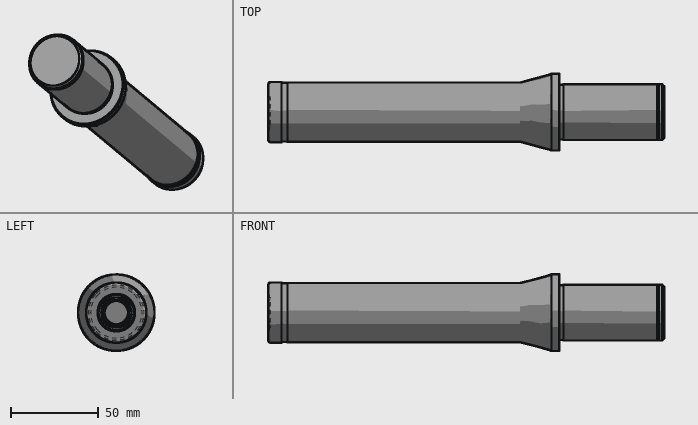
import cadquery as cq

total_length = 227.0
cap_length = 7.7
band_end = 11.1
cone_start = 144.4
cone_blend_end = 145.7
cone_end = 161.6
flange_start = 162.3
flange_end = 167.0
neck_end = 169.1
tip_groove_start = 223.0
tip_groove_end = 223.8

cap_diameter = 34.7
band_diameter = 33.8
barrel_diameter = 34.0
cone_blend_diameter = 34.7
cone_end_diameter = 43.4
flange_diameter = 44.0
neck_diameter = 31.5
shank_diameter = 32.0

cap_fillet = 1.5
flange_chamfer = 0.5
tip_chamfer = 1.4

ring_outer_diameter = 21.5
ring_step_diameter = 17.3
ring_inner_diameter = 13.5
ring_bevel = 0.7
ring_depth = 1.4
ring_step_depth = 0.7


def revolve_about_x(points):
    """Revolve a closed outline of (x, diameter) points about the X axis."""
    outline = [(x, diameter / 2) for x, diameter in points]
    return cq.Workplane("XY").polyline(outline).close().revolve(360, (0, 0, 0), (1, 0, 0))


def make_cap():
    """Rounded end cap with a stepped, bevelled ring recess around a central boss."""
    blank = revolve_about_x([
        (0, 0),
        (0, ring_inner_diameter),
        (ring_depth, ring_inner_diameter + 2 * ring_bevel),
        (ring_depth, ring_step_diameter),
        (ring_step_depth, ring_step_diameter),
        (ring_step_depth, ring_outer_diameter - 2 * ring_bevel),
        (0, ring_outer_diameter),
        (0, cap_diameter),
        (cap_length, cap_diameter),
        (cap_length, 0),
    ])
    rim = cq.selectors.RadiusNthSelector(-1)
    return blank.faces("<X").edges(rim).fillet(cap_fillet)


def make_pillar():
    """Barrel, flared collar and reduced shank turned from one bar."""
    return revolve_about_x([
        (cap_length, 0),
        (cap_length, band_diameter),
        (band_end, band_diameter),
        (band_end, barrel_diameter),
        (cone_start, barrel_diameter),
        (cone_blend_end, cone_blend_diameter),
        (cone_end, cone_end_diameter),
        (flange_start, flange_diameter),
        (flange_end - flange_chamfer, flange_diameter),
        (flange_end, flange_diameter - 2 * flange_chamfer),
        (flange_end, neck_diameter),
        (neck_end, neck_diameter),
        (neck_end, shank_diameter),
        (tip_groove_start, shank_diameter),
        (tip_groove_start, neck_diameter),
        (tip_groove_end, neck_diameter),
        (tip_groove_end, shank_diameter),
        (total_length - tip_chamfer, shank_diameter),
        (total_length, shank_diameter - 2 * tip_chamfer),
        (total_length, 0),
    ])


cap = make_cap()
pillar = make_pillar()
result = cq.Compound.makeCompound([cap.val(), pillar.val()])